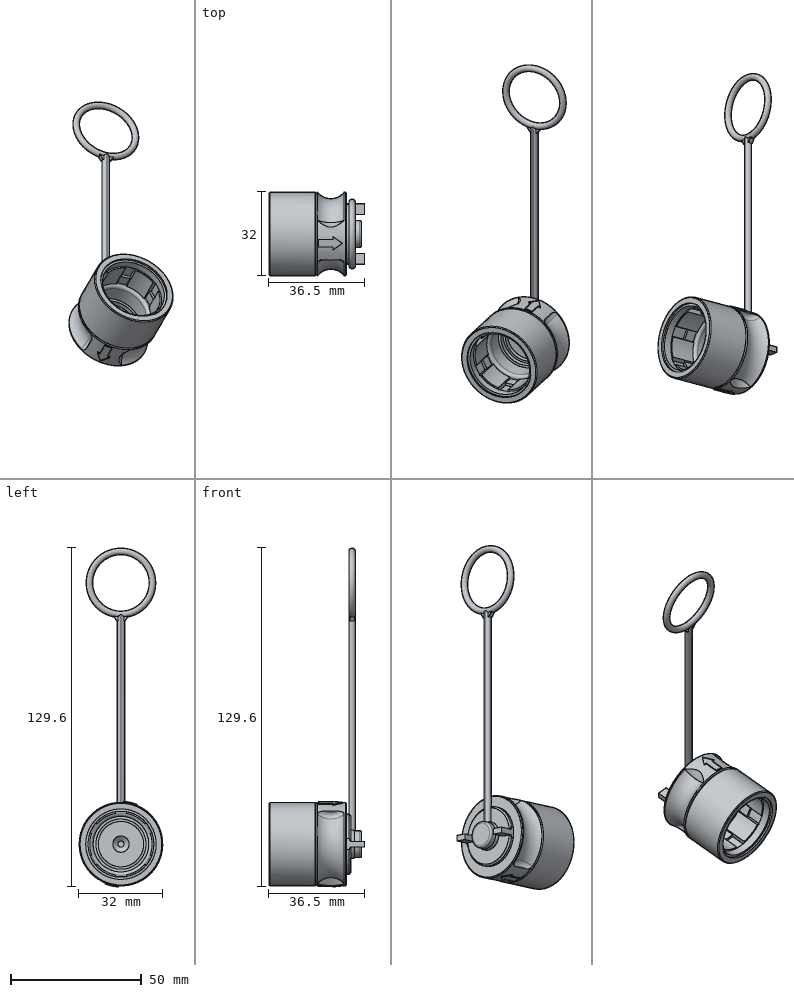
import cadquery as cq
import math

body_radius = 16.0
body_length = 29.5
edge_chamfer = 0.4
groove_x = 18.0
groove_half_width = 0.45
groove_depth = 0.4

mouth_radius = 13.5
mouth_depth = 0.8
lead_in_radius = 12.6
lead_in_depth = 3.9
sleeve_radius = 11.9
sleeve_depth = 14.3
lip_radius = 1.3
throat_radius = sleeve_radius - lip_radius
throat_depth = 22.0
seat_radius = 9.6
seat_depth = 24.0
floor_radius = 8.7
floor_depth = 25.9
dimple_radius = 3.1
dimple_tip_radius = 1.2
dimple_depth = 2.0

slot_count = 6
slot_width = 4.1
slot_inner_radius = 11.1
slot_outer_radius = 13.5
slot_step_radius = 12.5
slot_step_depth = 10.1

scoop_x = 23.6
scoop_section_radius = 6.55
scoop_depth = 2.5
scoop_start_angle = 38
scoop_end_angle = 161
scoop_start_fillet = 1.8
scoop_runout_length = 5.2
scoop_runout_taper = 40

arrow_height = 0.4
arrow_y = -3.56
arrow_tail_x = 18.9
arrow_neck_x = 24.4
arrow_tip_x = 28.0
arrow_shaft_half_width = 1.49
arrow_head_half_width = 2.6

disc_radius = 11.5
disc_end_x = 31.2
disc_chamfer = 0.6
hub_radius = 5.2
hub_end_x = 35.4
hub_fillet = 0.8
lug_y = 9.53
lug_width = 4.1
lug_thickness = 2.2
lug_end_x = 36.5
lug_foot_height = 2.1
lug_foot_length = 0.5

leash_x = 31.8
leash_thickness = 2.6
loop_section_radius = leash_thickness / 2
rod_width = 3.0
eye_radius = 5.6
part_height = 129.6
ring_outer_radius = 13.3
ring_center_radius = ring_outer_radius - loop_section_radius
bottom_z = -math.sqrt((body_radius + arrow_height) ** 2 - (arrow_y + arrow_head_half_width) ** 2)
ring_center_z = bottom_z + part_height - ring_outer_radius
rod_foot_width = 5.7
rod_foot_height = 2.0
rod_foot_thickness = 1.8


def disc_x(radius, start_x, end_x):
    """Cylinder along X between two X positions."""
    return cq.Workplane("YZ").workplane(offset=start_x).circle(radius).extrude(end_x - start_x)


def turned(points):
    """Solid of revolution about X from (x, radius) points."""
    return cq.Workplane("XY").polyline(points).close().revolve(360, (0, 0), (1, 0))


def half_turn(shape):
    """Copy of a shape turned 180 degrees about X."""
    return shape.rotate((0, 0, 0), (1, 0, 0), 180)


def make_shell():
    return turned([
        (0, 0),
        (0, body_radius - edge_chamfer),
        (edge_chamfer, body_radius),
        (groove_x - groove_half_width, body_radius),
        (groove_x, body_radius - groove_depth),
        (groove_x + groove_half_width, body_radius),
        (body_length - edge_chamfer, body_radius),
        (body_length, body_radius - edge_chamfer),
        (body_length, 0),
    ])


def make_bore():
    lip_mid = lip_radius * math.sqrt(0.5)
    return (
        cq.Workplane("XY")
        .moveTo(0, 0)
        .lineTo(0, mouth_radius)
        .lineTo(mouth_depth, mouth_radius)
        .lineTo(mouth_depth, lead_in_radius)
        .lineTo(lead_in_depth, lead_in_radius)
        .lineTo(lead_in_depth, sleeve_radius)
        .lineTo(sleeve_depth, sleeve_radius)
        .threePointArc(
            (sleeve_depth + lip_radius - lip_mid, sleeve_radius - lip_mid),
            (sleeve_depth + lip_radius, throat_radius),
        )
        .lineTo(throat_depth, throat_radius)
        .lineTo(throat_depth, seat_radius)
        .lineTo(seat_depth, seat_radius)
        .lineTo(seat_depth, floor_radius)
        .lineTo(floor_depth, floor_radius)
        .lineTo(floor_depth, dimple_radius)
        .lineTo(floor_depth + dimple_depth, dimple_tip_radius)
        .lineTo(floor_depth + dimple_depth, 0)
        .close()
        .revolve(360, (0, 0), (1, 0))
    )


def make_slots():
    """Radial keyways, deeper in their front part than behind."""
    slots = cq.Workplane("XY")
    for index in range(slot_count):
        angle = index * 360 / slot_count
        for end_x, radius in (
            (slot_step_depth, slot_outer_radius),
            (sleeve_depth, slot_step_radius),
        ):
            key = (
                cq.Workplane("XY").workplane(offset=slot_inner_radius)
                .moveTo((lead_in_depth + end_x) / 2, 0)
                .rect(end_x - lead_in_depth, slot_width)
                .extrude(radius - slot_inner_radius)
            )
            slots = slots.union(key.rotate((0, 0, 0), (1, 0, 0), angle))
    return slots


def make_scoop():
    """Part of a torus on the -Y side: rounded wall at its start, conical runout at its end."""
    center_radius = body_radius - scoop_depth + scoop_section_radius
    sweep_angle = scoop_end_angle - scoop_start_angle
    torus = (
        cq.Workplane("XY")
        .center(scoop_x, center_radius)
        .circle(scoop_section_radius)
        .revolve(sweep_angle, (0, -center_radius), (1, -center_radius))
        .faces("<Z").edges()
        .fillet(scoop_start_fillet)
    )
    runout = (
        cq.Workplane("XY")
        .center(scoop_x, center_radius)
        .circle(scoop_section_radius)
        .extrude(scoop_runout_length, taper=scoop_runout_taper)
        .rotate((0, 0, 0), (1, 0, 0), sweep_angle)
    )
    return torus.union(runout).rotate((0, 0, 0), (1, 0, 0), 90 + scoop_start_angle)


def make_arrow():
    outline = [
        (arrow_tail_x, arrow_y + arrow_shaft_half_width),
        (arrow_neck_x, arrow_y + arrow_shaft_half_width),
        (arrow_neck_x, arrow_y + arrow_head_half_width),
        (arrow_tip_x, arrow_y),
        (arrow_neck_x, arrow_y - arrow_head_half_width),
        (arrow_neck_x, arrow_y - arrow_shaft_half_width),
        (arrow_tail_x, arrow_y - arrow_shaft_half_width),
    ]
    prism = (
        cq.Workplane("XY").workplane(offset=sleeve_radius)
        .polyline(outline).close().extrude(body_radius)
    )
    return prism.intersect(disc_x(body_radius + arrow_height, arrow_tail_x, arrow_tip_x))


def make_hub():
    disc = disc_x(disc_radius, body_length, disc_end_x).faces(">X").edges().chamfer(disc_chamfer)
    post = disc_x(hub_radius, body_length, hub_end_x).faces(">X").edges().fillet(hub_fillet)
    return disc.union(post)


def make_lug():
    """Flat tab on the -Y side with a tapered foot on the disc."""
    half = lug_thickness / 2
    outline = [
        (body_length, -lug_foot_height),
        (disc_end_x - disc_chamfer, -lug_foot_height),
        (disc_end_x - disc_chamfer + lug_foot_length, -half),
        (lug_end_x, -half),
        (lug_end_x, half),
        (disc_end_x - disc_chamfer + lug_foot_length, half),
        (disc_end_x - disc_chamfer, lug_foot_height),
        (body_length, lug_foot_height),
    ]
    return (
        cq.Workplane("XZ").workplane(offset=lug_y - lug_width / 2)
        .polyline(outline).close().extrude(lug_width)
    )


def make_loop(outer_radius, center_z):
    """Round-section loop in the plane of the leash."""
    center = cq.Vector(leash_x, 0, center_z)
    return cq.Workplane(
        cq.Solid.makeTorus(outer_radius - loop_section_radius, loop_section_radius, center, cq.Vector(1, 0, 0))
    )


def make_leash():
    eye = make_loop(eye_radius, 0)
    rod_top_z = ring_center_z - ring_center_radius
    rod = (
        cq.Workplane("XY").center(leash_x, 0)
        .slot2D(rod_width, leash_thickness, 90).extrude(rod_top_z)
    )
    ring = make_loop(ring_outer_radius, ring_center_z)
    foot_top_z = rod_top_z - loop_section_radius / 2
    foot = (
        cq.Workplane("YZ").workplane(offset=leash_x - rod_foot_thickness / 2)
        .moveTo(-rod_foot_width / 2, foot_top_z)
        .lineTo(-rod_width / 2, foot_top_z - rod_foot_height)
        .lineTo(rod_width / 2, foot_top_z - rod_foot_height)
        .lineTo(rod_foot_width / 2, foot_top_z)
        .close()
        .extrude(rod_foot_thickness)
    )
    return ring.union(rod).union(foot).union(eye)


scoop = make_scoop()
arrow = make_arrow()
lug = make_lug()

result = (
    make_shell()
    .cut(scoop).cut(half_turn(scoop))
    .union(arrow).union(half_turn(arrow))
    .union(make_hub())
    .union(lug).union(half_turn(lug))
    .union(make_leash())
    .cut(make_bore()).cut(make_slots())
)